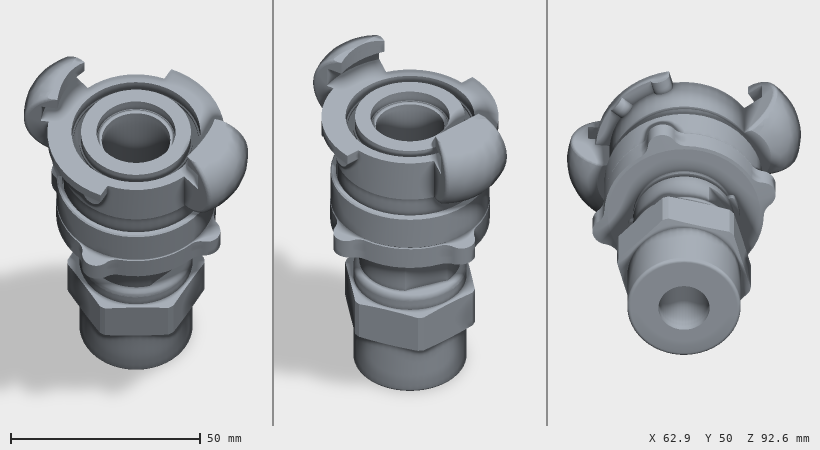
import cadquery as cq
import math

OVERALL_HEIGHT = 92.6
OVERALL_WIDTH = 62.9

HEX_BOTTOM = 16.0
HEX_TOP = 28.05
SHOULDER_TOP = 33.3
CLIP_BOTTOM = 44.3
CLIP_TOP = 45.9
FLAT_TOP = 42.0
NUT_BOTTOM = 47.1
COLLAR_BOTTOM = 53.7
COLLAR_TOP = 63.9
HEAD_BOTTOM = 69.3
FACE = 81.65

TUBE_RADIUS = 15.0
NECK_RADIUS = 13.4
CLIP_GROOVE_RADIUS = 11.5
CLIP_RADIUS = 14.8
COLLAR_RADIUS = 21.0
COLLAR_INNER_RADIUS = 19.6
WAIST_RADIUS = 19.0
HEAD_RADIUS = 19.7
TUBE_END_ROUND = 0.9
SHOULDER_ROUND = 2.4
COLLAR_CHAMFER = 0.4
COLLAR_GAP_DEPTH = 8.3

BORE_RADIUS = 6.8
SLEEVE_BORE_RADIUS = 9.1
SEAL_BORE_RADIUS = 10.5
SLEEVE_RADIUS = 10.2
SLEEVE_STEP_HEIGHT = 0.2
SEAL_BORE_DEPTH = 3.2
CONE_BOTTOM = 39.25
CONE_TOP = 40.7

GROOVE_OUTER_RADIUS = 17.0
GROOVE_INNER_RADIUS = 14.5
GROOVE_DEPTH = 3.9
GROOVE_STEP = 0.5
GROOVE_STEP_DEPTH = 3.3

HEX_SIDES = 6
HEX_ACROSS_FLATS = 32.0
HEX_CORNER_RADIUS = 18.05
HEX_CHAMFER_HEIGHT = 0.5

FLAT_ANGLE = 162
FLATS_ACROSS = 24.0

CLIP_END_Y = 3.15
CLIP_END_ROUND = 1.0

EDGE_TOLERANCE = 0.2

KNOB_COUNT = 4
NUT_RADIUS = 21.1
KNOB_RADIUS = 3.9
KNOB_FILLET = 4.2
KNOB_EDGE_DROP = 0.65
KNOB_SLOPE_START = 20.2

FLANGE_RADIUS = 23.4
FLANGE_THICKNESS = 2.9
FLANGE_END_X = 2.4
BUMP_RADIUS = 2.6
BUMP_DROP = 1.85
BUMP_ANGLE = 35

LUG_HALF_ANGLE = 20.5
LUG_ROUND_RADIUS = 12.0
LUG_REACH = OVERALL_WIDTH / 2
LUG_AXIS_X = 13.9
LUG_CROWN_RADIUS = 20.4
LUG_EDGE_ROUND = 1.0
HOOK_TIP_RADIUS = 21.0
HOOK_WALL_RADIUS = 25.5
HOOK_UNDERSIDE = 87.6
LUG_CIRCLE_X = LUG_REACH - LUG_ROUND_RADIUS
LUG_CENTRE_Z = OVERALL_HEIGHT - math.sqrt(LUG_ROUND_RADIUS**2 - (HOOK_TIP_RADIUS - LUG_CIRCLE_X) ** 2)


def disc(radius, bottom, top):
    return cq.Workplane("XY").workplane(offset=bottom).circle(radius).extrude(top - bottom)


def ring(outer, inner, bottom, top):
    return cq.Workplane("XY").workplane(offset=bottom).circle(outer).circle(inner).extrude(top - bottom)


def turned(outline):
    return cq.Workplane("XZ").polyline(outline).close().revolve(360, (0, 0), (0, 1))


def both_sides(solid):
    return solid.union(solid.rotate((0, 0, 0), (0, 0, 1), 180))


def make_tube():
    tube = disc(TUBE_RADIUS, 0, SHOULDER_TOP)
    tube = tube.faces("<Z").edges().fillet(TUBE_END_ROUND)
    return tube.faces(">Z").edges().fillet(SHOULDER_ROUND)


def make_hexagon():
    circumscribed = HEX_ACROSS_FLATS / math.cos(math.pi / HEX_SIDES)
    prism = cq.Workplane("XY").workplane(offset=HEX_BOTTOM).polygon(HEX_SIDES, circumscribed)
    prism = prism.extrude(HEX_TOP - HEX_BOTTOM).rotate((0, 0, 0), (0, 0, 1), 180 / HEX_SIDES)
    envelope = turned([
        (0, HEX_BOTTOM),
        (TUBE_RADIUS, HEX_BOTTOM),
        (HEX_CORNER_RADIUS, HEX_BOTTOM + HEX_CHAMFER_HEIGHT),
        (HEX_CORNER_RADIUS, HEX_TOP - HEX_CHAMFER_HEIGHT),
        (TUBE_RADIUS, HEX_TOP),
        (0, HEX_TOP),
    ])
    return prism.intersect(envelope)


def make_neck():
    neck = disc(NECK_RADIUS, HEX_TOP, NUT_BOTTOM)
    neck = neck.cut(ring(CLIP_RADIUS, CLIP_GROOVE_RADIUS, CLIP_BOTTOM, CLIP_TOP))
    flat_height = FLAT_TOP - HEX_TOP
    flat_cut = cq.Workplane("XY").box(
        NECK_RADIUS, 2 * NECK_RADIUS, flat_height, centered=(False, True, False))
    flat_cut = flat_cut.translate((FLATS_ACROSS / 2, 0, HEX_TOP)).rotate((0, 0, 0), (0, 0, 1), FLAT_ANGLE)
    return neck.cut(both_sides(flat_cut))


def make_clip():
    clip = ring(CLIP_RADIUS, CLIP_GROOVE_RADIUS, CLIP_BOTTOM, CLIP_TOP)
    gap = cq.Workplane("XY").box(
        2 * CLIP_RADIUS, CLIP_RADIUS, CLIP_TOP - CLIP_BOTTOM, centered=(True, False, False))
    clip = clip.cut(gap.translate((0, CLIP_END_Y, CLIP_BOTTOM)))
    cut_faces = clip.faces(">Y")
    return clip.newObject(cut_faces.edges("|Z").vals()).edges("<X or >X").fillet(CLIP_END_ROUND)


def upright_edge_at(radius, angle):
    x = radius * math.cos(angle)
    y = radius * math.sin(angle)
    low = (x - EDGE_TOLERANCE, y - EDGE_TOLERANCE, NUT_BOTTOM)
    high = (x + EDGE_TOLERANCE, y + EDGE_TOLERANCE, COLLAR_BOTTOM)
    within = cq.selectors.BoxSelector(low, high, boundingbox=False)
    return cq.selectors.AndSelector(cq.selectors.ParallelDirSelector(cq.Vector(0, 0, 1)), within)


def make_nut():
    base = disc(NUT_RADIUS, NUT_BOTTOM, COLLAR_BOTTOM)
    knobs = cq.Workplane("XY").workplane(offset=NUT_BOTTOM).polarArray(NUT_RADIUS, 0, 360, KNOB_COUNT)
    nut = base.union(knobs.circle(KNOB_RADIUS).extrude(COLLAR_BOTTOM - NUT_BOTTOM))
    half_knob = 2 * math.asin(KNOB_RADIUS / (2 * NUT_RADIUS))
    for knob in range(KNOB_COUNT):
        knob_angle = knob * math.tau / KNOB_COUNT
        for corner_angle in (knob_angle - half_knob, knob_angle + half_knob):
            nut = nut.edges(upright_edge_at(NUT_RADIUS, corner_angle)).fillet(KNOB_FILLET)
    rim = NUT_RADIUS + KNOB_RADIUS
    envelope = turned([
        (0, NUT_BOTTOM),
        (KNOB_SLOPE_START, NUT_BOTTOM),
        (rim, NUT_BOTTOM + KNOB_EDGE_DROP),
        (rim, COLLAR_BOTTOM - KNOB_EDGE_DROP),
        (KNOB_SLOPE_START, COLLAR_BOTTOM),
        (0, COLLAR_BOTTOM),
    ])
    return nut.intersect(envelope)


def make_head():
    collar = disc(COLLAR_RADIUS, COLLAR_BOTTOM, COLLAR_TOP)
    collar = collar.faces("<Z or >Z").edges().chamfer(COLLAR_CHAMFER)
    collar = collar.cut(ring(COLLAR_INNER_RADIUS, WAIST_RADIUS, COLLAR_TOP - COLLAR_GAP_DEPTH, COLLAR_TOP))
    waist = disc(WAIST_RADIUS, COLLAR_TOP, HEAD_BOTTOM)
    return collar.union(waist).union(disc(HEAD_RADIUS, HEAD_BOTTOM, FACE))


def make_flange_segment():
    bottom = FACE - FLANGE_THICKNESS
    bump_z = bottom - BUMP_DROP + BUMP_RADIUS
    bump = cq.Workplane("XZ").center(0, bump_z).circle(BUMP_RADIUS).extrude(2 * FLANGE_RADIUS)
    end_bump = bump.translate((FLANGE_END_X - BUMP_RADIUS, 0, 0))
    side_bump = bump.rotate((0, 0, 0), (0, 0, 1), -BUMP_ANGLE)
    quarter = cq.Workplane("XY").box(
        2 * FLANGE_RADIUS, 2 * FLANGE_RADIUS, FLANGE_THICKNESS, centered=False)
    quarter = quarter.translate((FLANGE_END_X - 2 * FLANGE_RADIUS, -2 * FLANGE_RADIUS, bottom))
    segment = quarter.union(end_bump).union(side_bump)
    return segment.intersect(ring(FLANGE_RADIUS, WAIST_RADIUS, HEAD_BOTTOM, FACE))


def make_lug():
    top = LUG_CENTRE_Z + LUG_ROUND_RADIUS
    bottom = LUG_CENTRE_Z - LUG_ROUND_RADIUS
    barrel = (
        cq.Workplane("XZ")
        .moveTo(LUG_AXIS_X, bottom)
        .lineTo(LUG_CIRCLE_X, bottom)
        .threePointArc((LUG_REACH, LUG_CENTRE_Z), (LUG_CIRCLE_X, top))
        .lineTo(LUG_AXIS_X, top)
        .close()
        .revolve(360, (LUG_AXIS_X, 0), (LUG_AXIS_X, 1))
    )
    wedge_y = LUG_REACH * math.tan(math.radians(LUG_HALF_ANGLE))
    wedge = (
        cq.Workplane("XY")
        .workplane(offset=HEAD_BOTTOM)
        .polyline([(0, 0), (LUG_REACH, -wedge_y), (LUG_REACH, wedge_y)])
        .close()
        .extrude(OVERALL_HEIGHT)
    )
    crown = cq.Workplane("YZ").center(0, OVERALL_HEIGHT - LUG_CROWN_RADIUS).circle(LUG_CROWN_RADIUS)
    crown = crown.extrude(LUG_REACH)
    lug = barrel.intersect(wedge)
    lug = lug.cut(disc(WAIST_RADIUS, HEAD_BOTTOM, OVERALL_HEIGHT + LUG_ROUND_RADIUS))
    lug = lug.edges("<Y or >Y").fillet(LUG_EDGE_ROUND)
    lug = lug.intersect(crown)
    lug = lug.cut(disc(HOOK_TIP_RADIUS, FACE, OVERALL_HEIGHT))
    return lug.cut(disc(HOOK_WALL_RADIUS, FACE, HOOK_UNDERSIDE))


def make_bore():
    ledge = FACE - SEAL_BORE_DEPTH
    return turned([
        (0, 0),
        (BORE_RADIUS, 0),
        (BORE_RADIUS, CONE_BOTTOM),
        (SLEEVE_BORE_RADIUS, CONE_TOP),
        (SLEEVE_BORE_RADIUS, ledge),
        (SLEEVE_RADIUS, ledge),
        (SLEEVE_RADIUS, ledge + SLEEVE_STEP_HEIGHT),
        (SEAL_BORE_RADIUS, ledge + SLEEVE_STEP_HEIGHT),
        (SEAL_BORE_RADIUS, FACE),
        (0, FACE),
    ])


def make_face_groove():
    step_level = FACE - GROOVE_STEP_DEPTH
    upper = ring(GROOVE_OUTER_RADIUS, GROOVE_INNER_RADIUS, step_level, FACE)
    lower = ring(
        GROOVE_OUTER_RADIUS - GROOVE_STEP, GROOVE_INNER_RADIUS + GROOVE_STEP, FACE - GROOVE_DEPTH, step_level)
    return upper.union(lower)


result = (
    make_tube()
    .union(make_hexagon())
    .union(make_neck())
    .union(make_clip())
    .union(make_nut())
    .union(make_head())
    .union(both_sides(make_flange_segment()))
    .union(both_sides(make_lug()))
    .cut(make_bore())
    .cut(make_face_groove())
)